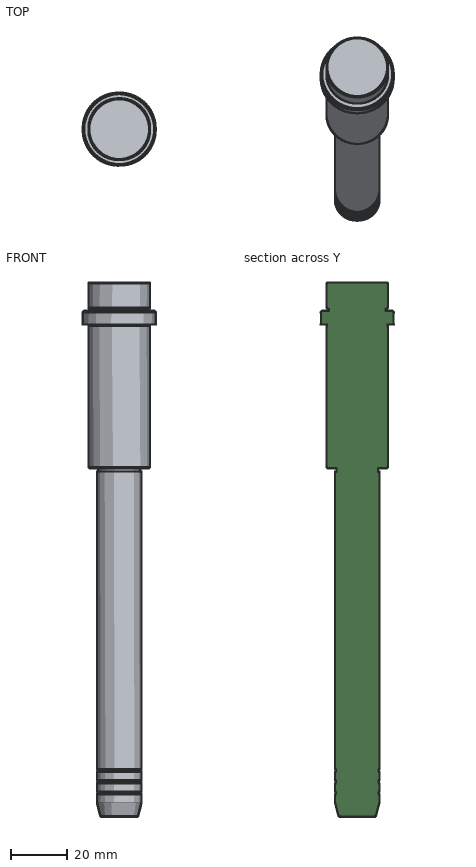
import cadquery as cq

total_length = 190.0
head_height = 10.0
collar_height = 5.0
sleeve_length = 51.1
collar_top = total_length - head_height
collar_bottom = collar_top - collar_height
sleeve_bottom = collar_bottom - sleeve_length

body_diameter = 22.0
collar_diameter = 26.0
pin_diameter = 16.0
body_radius = body_diameter / 2
collar_radius = collar_diameter / 2
pin_radius = pin_diameter / 2

head_chamfer = 0.4
collar_chamfer = 0.5
sleeve_chamfer = 0.5

head_relief_height = 0.5
head_relief_depth = 1.0
head_relief_chamfer = 0.5

sleeve_relief_height = 0.5
sleeve_relief_depth = 0.2

pin_relief_height = 1.1
pin_relief_depth = 0.48

groove_count = 3
groove_pitch = 4.0
groove_mouth_width = 1.1
groove_floor_width = 0.4
groove_depth = 0.28
lowest_groove_height = 8.5

tip_height = 5.1
tip_edge_radius = 6.6
tip_chamfer = 0.4


def cylinder(radius, bottom, top):
    """Solid cylinder on the Z axis between two heights."""
    return cq.Workplane("XY").workplane(offset=bottom).circle(radius).extrude(top - bottom)


def ring_cut(outer_radius, depth, bottom, height):
    """Ring that cuts a square groove into a cylinder of the given radius."""
    ring = cylinder(outer_radius + depth, bottom, bottom + height)
    return ring.cut(cylinder(outer_radius - depth, bottom, bottom + height))


def oil_groove_cut(center_height):
    """Ring with a trapezoid section that narrows from the pin surface to the groove floor."""
    outside_radius = pin_radius + groove_depth
    floor_radius = pin_radius - groove_depth
    half_mouth = groove_mouth_width / 2
    half_floor = groove_floor_width / 2
    section = (
        cq.Workplane("XZ")
        .moveTo(outside_radius, center_height + half_mouth)
        .lineTo(pin_radius, center_height + half_mouth)
        .lineTo(floor_radius, center_height + half_floor)
        .lineTo(floor_radius, center_height - half_floor)
        .lineTo(pin_radius, center_height - half_mouth)
        .lineTo(outside_radius, center_height - half_mouth)
        .close()
    )
    return section.revolve(360, (0, 0), (0, 1))


def make_head():
    relief_top = collar_top + head_relief_height
    neck = cylinder(body_radius - head_relief_depth, collar_top, relief_top)
    head = cylinder(body_radius, relief_top, total_length)
    head = head.faces(">Z").chamfer(head_chamfer).faces("<Z").chamfer(head_relief_chamfer)
    return head.union(neck)


def make_collar():
    return cylinder(collar_radius, collar_bottom, collar_top).faces(">Z").edges().chamfer(collar_chamfer)


def make_sleeve():
    sleeve = cylinder(body_radius, sleeve_bottom, collar_bottom).faces("<Z").chamfer(sleeve_chamfer)
    relief_bottom = collar_bottom - sleeve_relief_height
    return sleeve.cut(ring_cut(body_radius, sleeve_relief_depth, relief_bottom, sleeve_relief_height))


def make_pin():
    tip = (
        cq.Workplane("XY")
        .circle(tip_edge_radius)
        .workplane(offset=tip_height)
        .circle(pin_radius)
        .loft(ruled=True)
        .faces("<Z")
        .edges()
        .chamfer(tip_chamfer)
    )
    pin = cylinder(pin_radius, tip_height, sleeve_bottom).union(tip)
    pin = pin.cut(
        ring_cut(pin_radius, pin_relief_depth, sleeve_bottom - pin_relief_height, pin_relief_height)
    )
    for index in range(groove_count):
        pin = pin.cut(oil_groove_cut(lowest_groove_height + index * groove_pitch))
    return pin


result = make_pin().union(make_sleeve()).union(make_collar()).union(make_head())